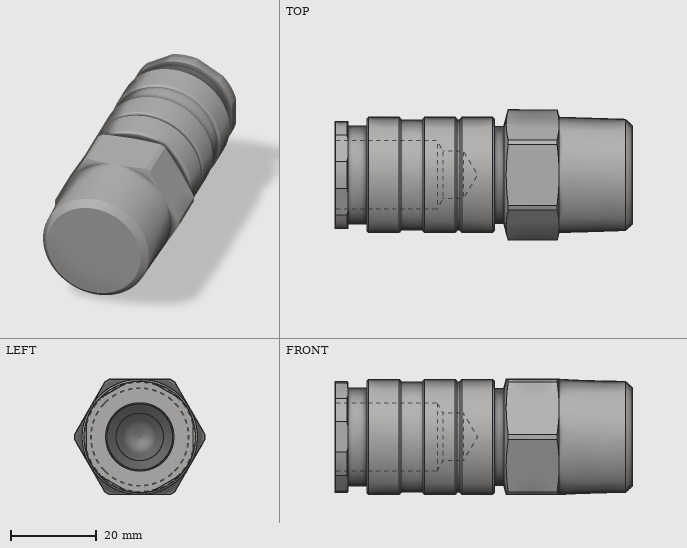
import cadquery as cq
import math

total_length = 69.54
ring_length = 3.0
collar_starts = (7.4, 20.5, 29.25)
collar_length = 8.0
hex_start = 39.55
hex_end = 52.4

hexagon_sides = 6
flat_to_corner_angle = 180 / hexagon_sides

ring_diameter = 26.0
ring_flats_width = 25.0
ring_rear_chamfer = 0.25

front_neck_diameter = 23.0
rear_neck_diameter = 22.7
band_diameter = 25.8
collar_diameter = 27.0
collar_chamfer = 0.45

hex_flats_width = 27.0
hex_corner_diameter = 30.5
hex_front_face_diameter = 23.5
hex_rear_face_diameter = 27.0
hex_chamfer_angle = 15.0

thread_start_diameter = 27.0
thread_taper = 1 / 16
thread_end_diameter = 23.0
thread_chamfer = 1.65

socket_diameter = 16.0
seat_diameter = 15.4
socket_depth = 24.0
pilot_diameter = 11.1
pilot_depth = 30.0
drill_point_angle = 118.0


def cylinder(start, end, diameter):
    """Solid cylinder on the X axis between two stations."""
    return cq.Workplane("YZ", origin=(start, 0, 0)).circle(diameter / 2).extrude(end - start)


def hexagon(start, end, flats_width):
    """Hexagonal prism on the X axis, with corners on the Y axis."""
    corner_diameter = flats_width / math.cos(math.radians(flat_to_corner_angle))
    return cq.Workplane("YZ", origin=(start, 0, 0)).polygon(hexagon_sides, corner_diameter).extrude(end - start)


def revolved(points):
    """Revolve a closed (x, radius) outline about the X axis."""
    return cq.Workplane("XY").polyline(points).close().revolve(360, (0, 0, 0), (1, 0, 0))


def release_ring():
    disc = cylinder(0, ring_length, ring_diameter).faces(">X").chamfer(ring_rear_chamfer)
    flats = hexagon(0, ring_length, ring_flats_width).rotate((0, 0, 0), (1, 0, 0), flat_to_corner_angle)
    return disc.intersect(flats)


def collar(start):
    blank = cylinder(start, start + collar_length, collar_diameter)
    return blank.edges("%CIRCLE").chamfer(collar_chamfer)


def sleeve():
    band_start = collar_starts[0] + collar_length / 2
    band_end = collar_starts[-1] + collar_length / 2
    body = cylinder(band_start, band_end, band_diameter)
    body = body.union(cylinder(ring_length, band_start, front_neck_diameter))
    body = body.union(cylinder(band_end, hex_start, rear_neck_diameter))
    for start in collar_starts:
        body = body.union(collar(start))
    return body


def hex_section():
    corner_radius = hex_corner_diameter / 2
    front_radius = hex_front_face_diameter / 2
    rear_radius = hex_rear_face_diameter / 2
    slope = math.tan(math.radians(hex_chamfer_angle))
    envelope = revolved([
        (hex_start, 0),
        (hex_start, front_radius),
        (hex_start + slope * (corner_radius - front_radius), corner_radius),
        (hex_end - slope * (corner_radius - rear_radius), corner_radius),
        (hex_end, rear_radius),
        (hex_end, 0),
    ])
    return hexagon(hex_start, hex_end, hex_flats_width).intersect(envelope)


def thread_body():
    taper_end = total_length - thread_chamfer
    taper_end_diameter = thread_start_diameter - thread_taper * (taper_end - hex_end)
    return revolved([
        (hex_end, 0),
        (hex_end, thread_start_diameter / 2),
        (taper_end, taper_end_diameter / 2),
        (total_length, thread_end_diameter / 2),
        (total_length, 0),
    ])


def tube_socket():
    socket_radius = socket_diameter / 2
    seat_radius = seat_diameter / 2
    pilot_radius = pilot_diameter / 2
    point_slope = math.tan(math.radians(drill_point_angle / 2))
    seat_end = socket_depth + (seat_radius - pilot_radius) / point_slope
    return revolved([
        (0, 0),
        (0, socket_radius),
        (socket_depth, socket_radius),
        (socket_depth, seat_radius),
        (seat_end, pilot_radius),
        (pilot_depth, pilot_radius),
        (pilot_depth + pilot_radius / point_slope, 0),
    ])


fitting = release_ring().union(sleeve()).union(hex_section()).union(thread_body())
result = fitting.cut(tube_socket())